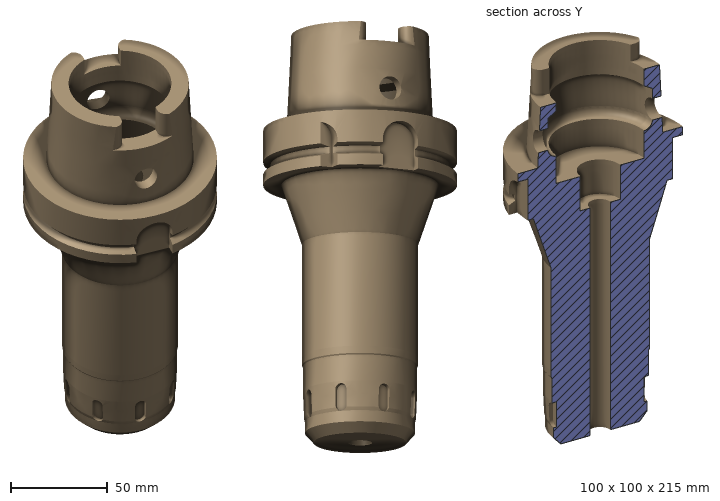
import cadquery as cq
import math


SHANK_TOP = 50.0
SHANK_BASE_RADIUS = 38.0
SHANK_TAPER = 1 / 20
SHANK_TOP_RADIUS = SHANK_BASE_RADIUS - SHANK_TAPER * SHANK_TOP

MOUTH_RADIUS = 26.5
MOUTH_BOTTOM = 30.0
CHAMBER_RADIUS = 31.5
SHOULDER_ANGLE = 60.0
CHAMBER_CORNER_TOP = 9.0
CHAMBER_CORNER_RADIUS = CHAMBER_RADIUS - MOUTH_RADIUS
BORE_FLOOR = -12.0
SHOULDER_BOTTOM = MOUTH_BOTTOM - (CHAMBER_RADIUS - MOUTH_RADIUS) / math.tan(math.radians(SHOULDER_ANGLE))

COOLANT_SEAT_RADIUS = 12.0
COOLANT_SEAT_DEPTH = 20.0
COOLANT_HOLE_RADIUS = 6.2
CROSS_HOLE_RADIUS = 6.2
CROSS_HOLE_HEIGHT = 15.0

TENON_WIDTH = 20.0
TENON_FINGER_REACH = 32.3
TENON_CORNER_RADIUS = 5.0
TENON_FLOOR_MINUS_X = 40.0
TENON_FLOOR_PLUS_X = 35.0

FLANGE_RADIUS = 50.0
FLANGE_BOTTOM = -29.0
GROOVE_RADIUS = 46.25
GROOVE_TOP = -17.0
GROOVE_BOTTOM = -23.4
GROOVE_FLOOR_TOP = -18.3
GROOVE_FLOOR_BOTTOM = -21.7

FLANGE_SLOT_WIDTH = 20.0
FLANGE_SLOT_TOP = -5.0
DRIVE_SLOT_FLOOR = 44.0
NOTCH_CENTER_Y = 41.3
NOTCH_FLOOR = 32.6

CONE_TOP_RADIUS = 40.6
BODY_RADIUS = 30.0
BODY_TOP = -60.3
BODY_BOTTOM = -120.4
COLLAR_BOTTOM = -124.2
COLLAR_BOTTOM_RADIUS = 29.9
NUT_RADIUS = 29.5
NUT_TOP = -124.9
NUT_BAND_TOP = -138.6
NUT_BAND_BOTTOM = -152.2
NUT_BAND_BOTTOM_RADIUS = 28.9
NUT_RIM_TOP = -154.1
NUT_RIM_RADIUS = 28.45
NUT_BOTTOM = -165.0
NUT_CHAMFER_WIDTH = 4.6
NUT_CHAMFER_HEIGHT = 5.0

SPANNER_SLOT_COUNT = 8
SPANNER_SLOT_WIDTH = 6.0
SPANNER_SLOT_TOP = -139.7
SPANNER_SLOT_BOTTOM = -154.1
SPANNER_SLOT_FLOOR = 26.5

CLEARANCE = 5.0


def revolve_profile(points):
    """Turn a (radius, z) outline about the Z axis."""
    return cq.Workplane("XZ").polyline(points).close().revolve(360, (0, 0), (0, 1))


def make_body():
    return revolve_profile([
        (0, SHANK_TOP),
        (SHANK_TOP_RADIUS, SHANK_TOP),
        (SHANK_BASE_RADIUS, 0),
        (FLANGE_RADIUS, 0),
        (FLANGE_RADIUS, GROOVE_TOP),
        (GROOVE_RADIUS, GROOVE_FLOOR_TOP),
        (GROOVE_RADIUS, GROOVE_FLOOR_BOTTOM),
        (FLANGE_RADIUS, GROOVE_BOTTOM),
        (FLANGE_RADIUS, FLANGE_BOTTOM),
        (CONE_TOP_RADIUS, FLANGE_BOTTOM),
        (BODY_RADIUS, BODY_TOP),
        (BODY_RADIUS, BODY_BOTTOM),
        (COLLAR_BOTTOM_RADIUS, COLLAR_BOTTOM),
        (NUT_RADIUS, NUT_TOP),
        (NUT_RADIUS, NUT_BAND_TOP),
        (NUT_BAND_BOTTOM_RADIUS, NUT_BAND_BOTTOM),
        (NUT_RIM_RADIUS, NUT_RIM_TOP),
        (NUT_RIM_RADIUS, NUT_BOTTOM + NUT_CHAMFER_HEIGHT),
        (NUT_RIM_RADIUS - NUT_CHAMFER_WIDTH, NUT_BOTTOM),
        (0, NUT_BOTTOM),
    ])


def make_bore():
    """Clamping bore, coolant seat and the through hole below it."""
    seat_floor = BORE_FLOOR - COOLANT_SEAT_DEPTH
    diagonal = CHAMBER_CORNER_RADIUS * math.sqrt(0.5)
    profile = (
        cq.Workplane("XZ")
        .moveTo(0, SHANK_TOP + CLEARANCE)
        .lineTo(MOUTH_RADIUS, SHANK_TOP + CLEARANCE)
        .lineTo(MOUTH_RADIUS, MOUTH_BOTTOM)
        .lineTo(CHAMBER_RADIUS, SHOULDER_BOTTOM)
        .lineTo(CHAMBER_RADIUS, CHAMBER_CORNER_TOP)
        .threePointArc(
            (MOUTH_RADIUS + diagonal, CHAMBER_CORNER_TOP - diagonal),
            (MOUTH_RADIUS, CHAMBER_CORNER_TOP - CHAMBER_CORNER_RADIUS),
        )
        .lineTo(MOUTH_RADIUS, BORE_FLOOR)
        .lineTo(COOLANT_SEAT_RADIUS, BORE_FLOOR)
        .lineTo(COOLANT_SEAT_RADIUS, seat_floor)
        .lineTo(COOLANT_HOLE_RADIUS, seat_floor)
        .lineTo(COOLANT_HOLE_RADIUS, NUT_BOTTOM - CLEARANCE)
        .lineTo(0, NUT_BOTTOM - CLEARANCE)
        .close()
    )
    return profile.revolve(360, (0, 0), (0, 1))


def make_cross_hole():
    half_length = SHANK_BASE_RADIUS + CLEARANCE
    return (
        cq.Workplane("YZ")
        .center(0, CROSS_HOLE_HEIGHT)
        .circle(CROSS_HOLE_RADIUS)
        .extrude(half_length, both=True)
    )


def make_tenon_slot(side, floor):
    """Slot that flares into a flat past the rounded finger ends; side is +1 or -1 along X."""
    half_width = TENON_WIDTH / 2
    corner_start = TENON_FINGER_REACH - TENON_CORNER_RADIUS
    corner_end = half_width + TENON_CORNER_RADIUS
    diagonal = TENON_CORNER_RADIUS * math.sqrt(0.5)
    corner_mid = (corner_start + diagonal, corner_end - diagonal)
    outer = SHANK_BASE_RADIUS + CLEARANCE
    return (
        cq.Workplane("XY", origin=(0, 0, floor))
        .moveTo(0, -half_width)
        .lineTo(0, half_width)
        .lineTo(side * corner_start, half_width)
        .threePointArc((side * corner_mid[0], corner_mid[1]), (side * TENON_FINGER_REACH, corner_end))
        .lineTo(side * TENON_FINGER_REACH, outer)
        .lineTo(side * outer, outer)
        .lineTo(side * outer, -outer)
        .lineTo(side * TENON_FINGER_REACH, -outer)
        .lineTo(side * TENON_FINGER_REACH, -corner_end)
        .threePointArc((side * corner_mid[0], -corner_mid[1]), (side * corner_start, -half_width))
        .close()
        .extrude(SHANK_TOP + CLEARANCE - floor)
    )


def make_flange_slot(side, center_y, floor):
    """Round-topped slot in the flange, cut along X down to a flat floor."""
    radius = FLANGE_SLOT_WIDTH / 2
    arc_center_z = FLANGE_SLOT_TOP - radius
    return (
        cq.Workplane("YZ", origin=(side * floor, 0, 0))
        .moveTo(center_y - radius, FLANGE_BOTTOM)
        .lineTo(center_y - radius, arc_center_z)
        .threePointArc((center_y, FLANGE_SLOT_TOP), (center_y + radius, arc_center_z))
        .lineTo(center_y + radius, FLANGE_BOTTOM)
        .close()
        .extrude(side * (FLANGE_RADIUS + CLEARANCE - floor))
    )


def make_spanner_slot(angle):
    length = SPANNER_SLOT_TOP - SPANNER_SLOT_BOTTOM
    middle = (SPANNER_SLOT_TOP + SPANNER_SLOT_BOTTOM) / 2
    return (
        cq.Workplane("YZ", origin=(SPANNER_SLOT_FLOOR, 0, middle))
        .slot2D(length, SPANNER_SLOT_WIDTH, 90)
        .extrude(NUT_RADIUS + CLEARANCE - SPANNER_SLOT_FLOOR)
        .rotate((0, 0, 0), (0, 0, 1), angle)
    )


result = make_body().cut(make_bore()).cut(make_cross_hole())

result = result.cut(make_tenon_slot(-1, TENON_FLOOR_MINUS_X))
result = result.cut(make_tenon_slot(1, TENON_FLOOR_PLUS_X))

for drive_side in (-1, 1):
    result = result.cut(make_flange_slot(drive_side, 0, DRIVE_SLOT_FLOOR))
result = result.cut(make_flange_slot(-1, NOTCH_CENTER_Y, NOTCH_FLOOR))

for index in range(SPANNER_SLOT_COUNT):
    result = result.cut(make_spanner_slot(index * 360 / SPANNER_SLOT_COUNT))